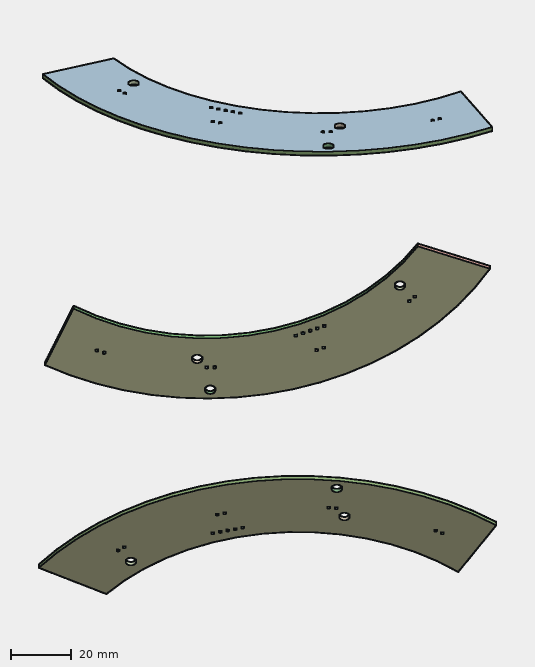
import cadquery as cq
import math

length = 121.5
thickness = 1.6
edge_offset = 14.9
band_width = 25.3
outer_radius = math.hypot(length - edge_offset, edge_offset)
inner_radius = outer_radius - band_width

pin_diameter = 1.0
pin_pitch = 2.5
pair_radius = 94.5
pair_angles = [0.0, -22.5, -45.0, -67.5]
header_radius = 86.2
header_angle = -45.0
header_pin_count = 5

mount_diameter = 3.5
mount_centres = [(85.6, -30.7), (96.1, -39.5), (32.4, -81.5)]


def polar(radius, angle):
    """Point at a radius and an angle in degrees about the arc centre."""
    a = math.radians(angle)
    return (radius * math.cos(a), radius * math.sin(a))


def make_board():
    """Ring sector cut by a vertical left end and a horizontal upper end."""
    outer_reach = math.sqrt(outer_radius**2 - edge_offset**2)
    inner_reach = math.sqrt(inner_radius**2 - edge_offset**2)
    return (
        cq.Workplane("XY")
        .moveTo(edge_offset, -outer_reach)
        .threePointArc(polar(outer_radius, 0), (outer_reach, edge_offset))
        .lineTo(inner_reach, edge_offset)
        .threePointArc(polar(inner_radius, -45), (edge_offset, -inner_reach))
        .close()
        .extrude(thickness)
    )


def pin_row(radius, angle, count):
    """Hole centres in a straight row, square to the radial direction."""
    x, y = polar(radius, angle)
    along_x, along_y = polar(1, angle + 90)
    steps = [(i - (count - 1) / 2) * pin_pitch for i in range(count)]
    return [(x + s * along_x, y + s * along_y) for s in steps]


def drill(body, centres, diameter):
    """Cut through holes at the given centres."""
    cutters = cq.Workplane("XY").pushPoints(centres).circle(diameter / 2).extrude(thickness)
    return body.cut(cutters)


pin_centres = pin_row(header_radius, header_angle, header_pin_count)
for pair_angle in pair_angles:
    pin_centres += pin_row(pair_radius, pair_angle, 2)

result = make_board()
result = drill(result, pin_centres, pin_diameter)
result = drill(result, mount_centres, mount_diameter)